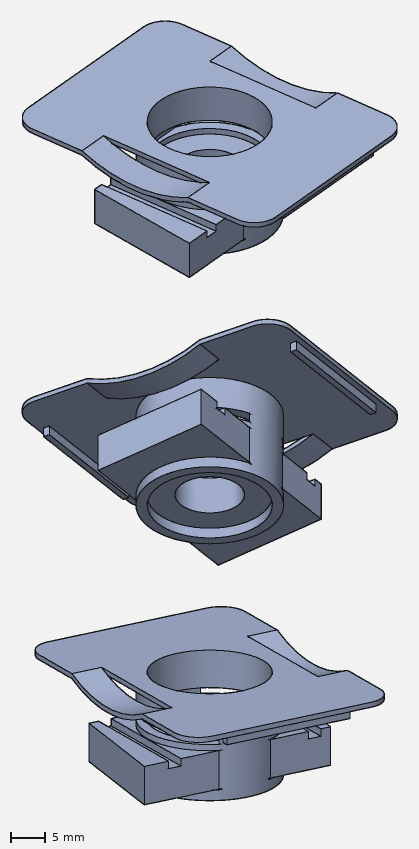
import cadquery as cq


plate_length = 46.0
plate_width = 35.0
plate_thickness = 0.8
corner_radius = 4.0

tab_chord = 19.7
tab_width = 5.05
tab_sag = 2.1

rib_thickness = 1.0
rib_length = 21.0
rib_inset = 0.95
rib_depth = 2.25

collar_diameter = 21.5
bore_diameter = 18.2
total_height = 16.0

opening_width = 19.6
gap_top = 5.85
gap_height = 1.43

slider_top = 8.25
slider_height = 6.0
slider_clearance = 0.15
slider_half_length = 17.1
slider_end_slant = 2.5
slider_hole_diameter = 10.1
groove_inner = 10.85
groove_width = 2.1
groove_depth = 1.15


def block(length, width, height, top):
    """Box centred on the Z axis, with its upper face at Z = top."""
    return cq.Workplane("XY").box(length, width, height).translate((0, 0, top - height / 2))


def rounded_plate():
    plate = block(plate_length, plate_width, plate_thickness, 0)
    return plate.edges("|Z").fillet(corner_radius)


def spring_tab():
    """Strip bowed downwards, from Y = 0 to Y = tab_width."""
    half_chord = tab_chord / 2
    return (
        cq.Workplane("XZ")
        .moveTo(-half_chord, 0)
        .threePointArc((0, -tab_sag), (half_chord, 0))
        .lineTo(half_chord, -plate_thickness)
        .threePointArc((0, -tab_sag - plate_thickness), (-half_chord, -plate_thickness))
        .close()
        .extrude(-tab_width)
    )


def make_housing():
    housing = rounded_plate()
    tab_centre = (plate_width - tab_width) / 2

    for side in (-1, 1):
        flat_strip = block(tab_chord, tab_width, plate_thickness, 0).translate((0, side * tab_centre, 0))
        tab = spring_tab().translate((0, side * tab_centre - tab_width / 2, 0))
        housing = housing.cut(flat_strip).union(tab)

    rib_centre = plate_length / 2 - rib_inset - rib_thickness / 2
    for side in (-1, 1):
        rib = block(rib_thickness, rib_length, rib_depth, 0).translate((side * rib_centre, 0, 0))
        housing = housing.union(rib)

    collar = cq.Workplane("XY").circle(collar_diameter / 2).extrude(-total_height)
    bore = cq.Workplane("XY").circle(bore_diameter / 2).extrude(-total_height)
    housing = housing.union(collar).cut(bore)

    gap = block(opening_width, plate_width, gap_height, -gap_top)
    window = block(opening_width, plate_width, slider_height + slider_clearance, -slider_top)
    return housing.cut(gap).cut(window)


def make_slider():
    """Block with two parallel slanted ends, grooves across its top and a central hole."""
    half_width = opening_width / 2
    short_end = slider_half_length - slider_end_slant
    slider = (
        cq.Workplane("XY", origin=(0, 0, -slider_top))
        .polyline([
            (-half_width, -short_end),
            (half_width, -slider_half_length),
            (half_width, short_end),
            (-half_width, slider_half_length),
        ])
        .close()
        .extrude(-slider_height)
    )
    hole = cq.Workplane("XY").circle(slider_hole_diameter / 2).extrude(-total_height)
    slider = slider.cut(hole)

    groove_centre = groove_inner + groove_width / 2
    for side in (-1, 1):
        groove = block(opening_width, groove_width, groove_depth, -slider_top)
        slider = slider.cut(groove.translate((0, side * groove_centre, 0)))
    return slider


housing = make_housing()
slider = make_slider()
result = cq.Compound.makeCompound([housing.solids().val(), slider.solids().val()])